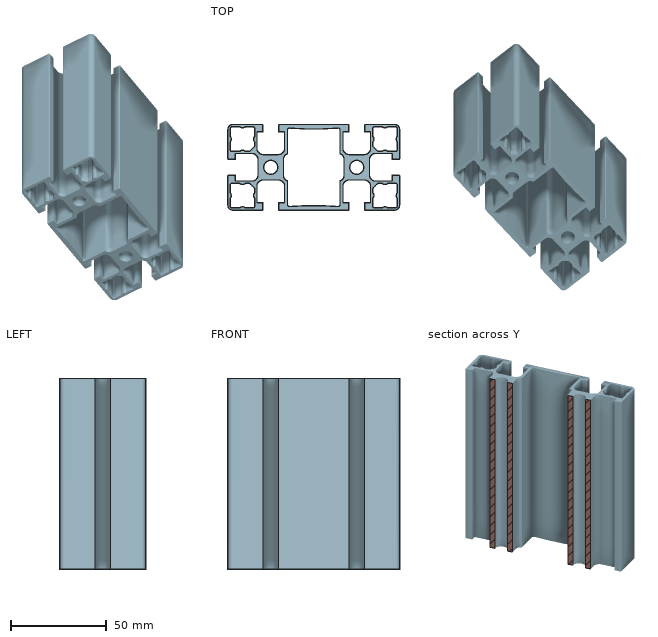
import math

import cadquery as cq

module = 45.0
width = 2 * module
depth = module
length = 100.0
outer_corner_radius = 2.7

slot_opening = 8.2
slot_cavity_width = 14.3
lip_thickness = 4.0
lip_edge_radius = 0.5
core_half_size = 6.7
slot_floor_radius = 3.3
slot_floor_rise = 2.5
core_bore_diameter = 7.2

outer_wall = 1.4
slot_wall = 1.3
pocket_corner_radius = 0.6
pocket_inner_chamfer = 2.5
bead_width = 2.8
outer_bead_height = 0.5
inner_bead_height = 0.6

chamber_side_wall = 1.7
chamber_end_wall = 2.0
chamber_mid_wall = 2.5
chamber_flat_half_width = 4.0
chamber_corner_radius = 0.8
core_recess_radius = 2.9

half_module = module / 2
half_width = width / 2
half_depth = depth / 2
half_cavity = slot_cavity_width / 2
core_x = half_module


def prism(sketch):
    """Extrude a closed XY outline over the full length."""
    return sketch.extrude(length)


def box(x_min, x_max, y_min, y_max):
    """Full-length rectangular bar between the given X and Y limits."""
    center = ((x_min + x_max) / 2, (y_min + y_max) / 2)
    return prism(cq.Workplane("XY").center(*center).rect(x_max - x_min, y_max - y_min))


def make_slot():
    """T-slot opening toward -Y, with the core center at the origin."""
    floor_y = -core_half_size
    bend_y = floor_y - slot_floor_rise
    bend_run = math.sqrt(slot_floor_radius**2 - (slot_floor_radius - slot_floor_rise) ** 2)
    half_floor = half_cavity - bend_run
    cavity = prism(
        cq.Workplane("XY")
        .moveTo(-half_cavity, lip_thickness - half_module)
        .lineTo(-half_cavity, bend_y)
        .radiusArc((-half_floor, floor_y), slot_floor_radius)
        .lineTo(half_floor, floor_y)
        .radiusArc((half_cavity, bend_y), slot_floor_radius)
        .lineTo(half_cavity, lip_thickness - half_module)
        .close()
    )
    half_opening = slot_opening / 2
    flare = half_opening + lip_edge_radius
    mouth = prism(
        cq.Workplane("XY")
        .moveTo(-flare, -half_module)
        .radiusArc((-half_opening, lip_edge_radius - half_module), -lip_edge_radius)
        .lineTo(-half_opening, bend_y)
        .lineTo(half_opening, bend_y)
        .lineTo(half_opening, lip_edge_radius - half_module)
        .radiusArc((flare, -half_module), -lip_edge_radius)
        .close()
    )
    return cavity.union(mouth)


def make_bead(height):
    """Low rounded rib on a wall along Y = 0, bulging toward +Y."""
    half_bead = bead_width / 2
    return prism(
        cq.Workplane("XY")
        .moveTo(-half_bead, 0)
        .threePointArc((0, height), (half_bead, 0))
        .close()
    )


def make_pocket():
    """Pocket of the -X, -Y corner, with a bead in the middle of each wall."""
    size = half_module - half_cavity - slot_wall - outer_wall
    pocket = box(0, size, 0, size)
    pocket = pocket.edges("|Z").edges(">(1,1,0)").chamfer(pocket_inner_chamfer)
    pocket = pocket.edges("|Z").edges("<(1,1,0) or <(1,-1,0) or >(1,-1,0)").fillet(pocket_corner_radius)
    middle = (size / 2, size / 2, 0)
    heights = (outer_bead_height, inner_bead_height, inner_bead_height, outer_bead_height)
    for side, height in enumerate(heights):
        bead = make_bead(height).translate((0, -size / 2, 0))
        bead = bead.rotate((0, 0, 0), (0, 0, 1), 90 * side)
        pocket = pocket.cut(bead.translate(middle))
    return pocket.translate((outer_wall - half_width, outer_wall - half_depth, 0))


def make_chamber():
    """Central cavity: thickened long walls and a rounded recess into each core."""
    half_chamber = half_module - half_cavity - chamber_side_wall
    end_y = half_depth - chamber_end_wall
    mid_y = half_depth - chamber_mid_wall
    chamber = prism(
        cq.Workplane("XY").polyline(
            [
                (-half_chamber, -end_y),
                (-chamber_flat_half_width, -mid_y),
                (chamber_flat_half_width, -mid_y),
                (half_chamber, -end_y),
                (half_chamber, end_y),
                (chamber_flat_half_width, mid_y),
                (-chamber_flat_half_width, mid_y),
                (-half_chamber, end_y),
            ]
        ).close()
    )
    chamber = chamber.edges("|Z and (<X or >X)").fillet(chamber_corner_radius)
    reach = core_x - core_half_size
    recess = box(-reach, reach, -half_cavity, half_cavity)
    return chamber.union(recess.edges("|Z").fillet(core_recess_radius))


profile = box(-half_width, half_width, -half_depth, half_depth)
profile = profile.edges("|Z").fillet(outer_corner_radius)

slot = make_slot()
for x, angles in ((-core_x, (0, 180, -90)), (core_x, (0, 180, 90))):
    for angle in angles:
        profile = profile.cut(slot.rotate((0, 0, 0), (0, 0, 1), angle).translate((x, 0, 0)))

pocket = make_pocket()
pockets_left = pocket.union(pocket.mirror("XZ"))
profile = profile.cut(pockets_left).cut(pockets_left.mirror("YZ"))

profile = profile.cut(make_chamber())

core_centers = [(-core_x, 0), (core_x, 0)]
bores = prism(cq.Workplane("XY").pushPoints(core_centers).circle(core_bore_diameter / 2))
result = profile.cut(bores)